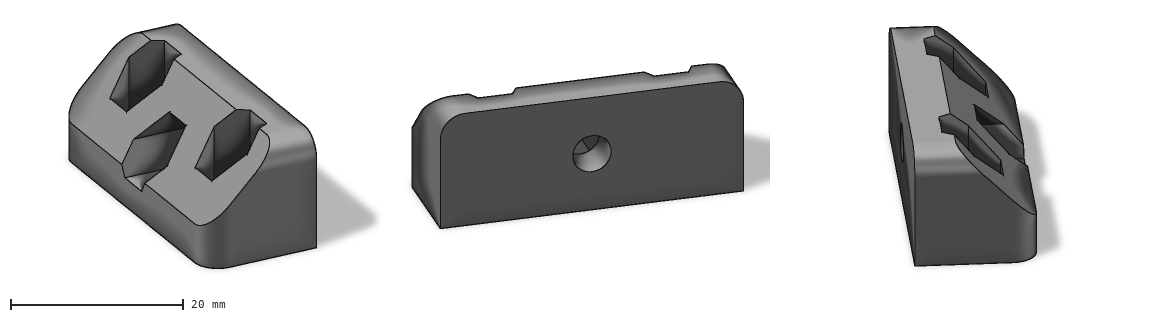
import cadquery as cq
import math

length = 36.6
side = 14.4
corner_radius = 3.0
front_lip = 4.98
slope_leg = side - front_lip

hole_diameter = 4.6
hex_across_flats = 7.17
hex_across_corners = hex_across_flats / math.cos(math.pi / 6)
pocket_floor = 4.98
hole_spacing = 21.23
hole_center = side / 2


def make_block():
    """Bar with its front vertical and top end edges rounded, then sloped at 45 degrees."""
    block = cq.Workplane("XY").box(length, side, side, centered=(True, False, False))
    block = block.edges("|Z and <Y").fillet(corner_radius)
    top_corners = cq.Workplane("XZ").rect(length, 2 * side).extrude(-side)
    top_corners = top_corners.edges("|Y and >Z").fillet(corner_radius)
    slope = (
        cq.Workplane("YZ")
        .polyline([(0, front_lip), (slope_leg, side), (0, side)])
        .close()
        .extrude(length / 2, both=True)
    )
    return block.intersect(top_corners).cut(slope)


def vertical_nut_hole(x):
    """Through hole along Z with a nut pocket open to the top."""
    hole = cq.Workplane("XY").center(x, hole_center).circle(hole_diameter / 2).extrude(side)
    pocket = (
        cq.Workplane("XY", origin=(x, hole_center, pocket_floor))
        .polygon(6, hex_across_corners)
        .extrude(side - pocket_floor)
    )
    return hole.union(pocket)


def horizontal_nut_hole():
    """The same hole turned to run along Y, with its pocket open to the front."""
    upright = vertical_nut_hole(0)
    return upright.rotate((0, 0, 0), (1, 0, 0), 90).translate((0, side, 0))


result = make_block()
for x in (-hole_spacing / 2, hole_spacing / 2):
    result = result.cut(vertical_nut_hole(x))
result = result.cut(horizontal_nut_hole())